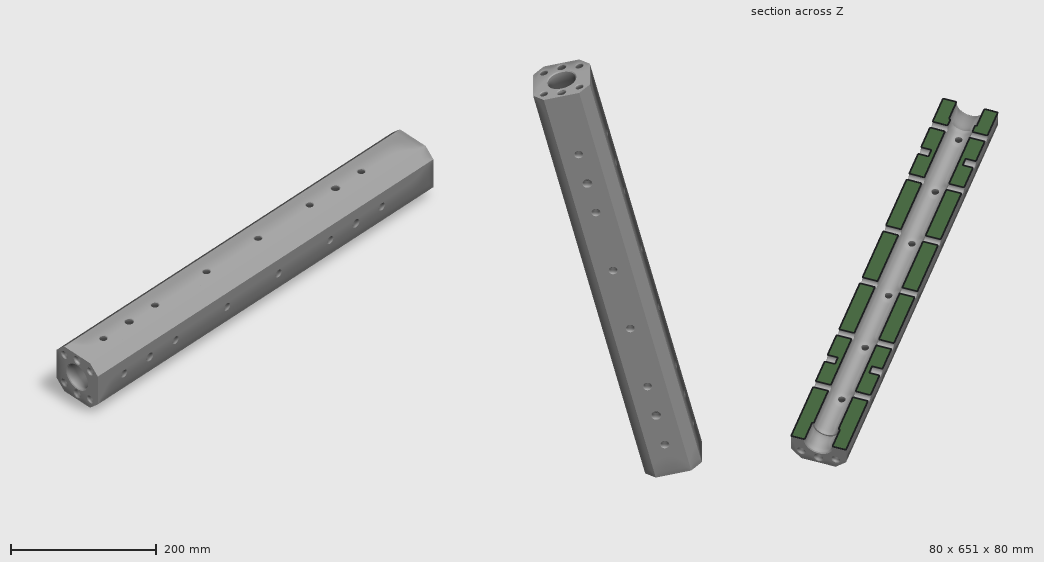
import cadquery as cq
import math

LENGTH = 651.0
WIDTH = 80.0
BEVEL = 15.0

BORE_DIAMETER = 35.0
MOUTH_DIAMETER = 40.0
MOUTH_DEPTH = 32.5
MOUTH_CHAMFER = 1.0

SCREW_DIAMETER = 10.5
DOWEL_DIAMETER = 12.0
DOWEL_DEPTH = 15.0
HOLE_CHAMFER = 1.0

END_SCREW_SPACING = 50.0
END_SCREW_DEPTH = 25.0
DRILL_POINT_ANGLE = 118
END_DOWEL_SPACING = 60.0

ROW_COUNT = 6
ROW_LENGTH = 500.0
ROW_PITCH = ROW_LENGTH / (ROW_COUNT - 1)
ROW_START = 51.0
row_positions = [-LENGTH / 2 + ROW_START + i * ROW_PITCH for i in range(ROW_COUNT)]
dowel_positions = [row_positions[0] + ROW_PITCH / 2, row_positions[-1] - ROW_PITCH / 2]


def make_hole(diameter, depth, chamfer, point_depth=0.0):
    """A round hole running down -Z from a chamfered opening at the origin."""
    radius = diameter / 2
    outline = (
        cq.Workplane("XZ")
        .lineTo(radius + chamfer, 0)
        .lineTo(radius, -chamfer)
        .lineTo(radius, -depth)
        .lineTo(0, -depth - point_depth)
        .close()
    )
    return outline.revolve(360, (0, 0, 0), (0, 1, 0))


def place_copies(hole, points):
    """Copies of a hole with their openings at the given points."""
    copies = cq.Workplane("XY")
    for point in points:
        copies = copies.add(hole.translate(point))
    return copies.combine()


def make_bar():
    bar = cq.Workplane("XY").box(WIDTH, LENGTH, WIDTH)
    return bar.edges("|Y").chamfer(BEVEL)


def make_bore():
    return cq.Workplane("XZ").circle(BORE_DIAMETER / 2).extrude(LENGTH / 2, both=True)


def make_end_holes():
    """The bore mouth and the screw and dowel holes around it, opening in the front (-Y) end face."""
    mouth = make_hole(MOUTH_DIAMETER, MOUTH_DEPTH, MOUTH_CHAMFER)
    point_depth = SCREW_DIAMETER / 2 / math.tan(math.radians(DRILL_POINT_ANGLE / 2))
    screw = make_hole(SCREW_DIAMETER, END_SCREW_DEPTH, HOLE_CHAMFER, point_depth)
    screw_offset = END_SCREW_SPACING / 2
    screw_points = [(sx * screw_offset, sy * screw_offset, 0) for sx in (-1, 1) for sy in (-1, 1)]
    dowel = make_hole(DOWEL_DIAMETER, DOWEL_DEPTH, HOLE_CHAMFER)
    dowel_points = [(0, side * END_DOWEL_SPACING / 2, 0) for side in (-1, 1)]
    holes = mouth.union(place_copies(screw, screw_points)).union(place_copies(dowel, dowel_points))
    return holes.rotate((0, 0, 0), (1, 0, 0), 90).translate((0, -LENGTH / 2, 0))


def make_long_face_holes():
    """Holes in the top face: screw holes as deep as the bar's axis, and blind dowel holes."""
    top = WIDTH / 2
    screw = make_hole(SCREW_DIAMETER, top, HOLE_CHAMFER)
    dowel = make_hole(DOWEL_DIAMETER, DOWEL_DEPTH, HOLE_CHAMFER)
    screws = place_copies(screw, [(0, y, top) for y in row_positions])
    dowels = place_copies(dowel, [(0, y, top) for y in dowel_positions])
    return screws.add(dowels).combine()


front_holes = make_end_holes()
long_face_holes = make_long_face_holes()

result = make_bar().cut(make_bore()).cut(front_holes).cut(front_holes.mirror("XZ"))
for angle in (0, 90, 180, 270):
    result = result.cut(long_face_holes.rotate((0, 0, 0), (0, 1, 0), angle))